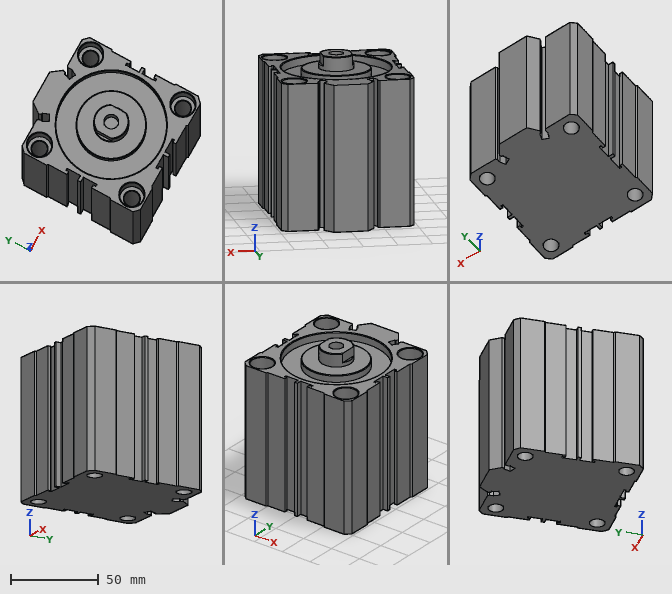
import cadquery as cq

overall_height = 94.0
overall_depth = 84.0
body_width = 77.0
body_height = 86.0
corner_chamfer = 3.2

relief_depth = 0.8
relief_half_length = 20.1

slot_mouth_width = 16.0
slot_inner_width = 19.3
slot_depth = 3.2
slot_lip = 2.0
slot_rib_width = 2.0

rail_top_half_width = 9.9
rail_half_width = 14.5
rail_widest_y = 39.3
rail_shoulder_y = 37.6
rail_shoulder_half_width = 14.0
rail_undercut_half_width = 13.2
groove_inner = (11.7, 33.65)
groove_outer = (15.4, 31.9)
groove_wall_half_width = 17.2
groove_wall_low_y = 35.2
groove_wall_high_y = 37.6
groove_mouth_half_width = 18.0

bore_diameter = 63.0
bore_chamfer = 0.5
recess_depth = 5.0
boss_diameter = 40.0
boss_height = 4.5
boss_chamfer = 0.5

hole_pitch = 60.1
hole_diameter = 8.9
hole_chamfer = 0.4
counterbore_diameter = 14.0
counterbore_chamfer = 0.5
counterbore_depth = 10.5

rod_diameter = 20.0
rod_chamfer = 0.5
flat_width = 17.0
flat_length = 6.0
rod_hole_diameter = 8.5
rod_hole_depth = 7.5

half_width = body_width / 2
relief_face = half_width - relief_depth
rail_top_y = overall_depth - half_width
boss_top = body_height - recess_depth + boss_height


def frustum(bottom_diameter, top_diameter, bottom_z, height):
    """Cone frustum on the Z axis, standing on bottom_z."""
    return cq.Workplane("XY").add(
        cq.Solid.makeCone(bottom_diameter / 2, top_diameter / 2, height, cq.Vector(0, 0, bottom_z))
    )


def make_block():
    """Square block with chamfered upright corners."""
    return (
        cq.Workplane("XY")
        .rect(body_width, body_width)
        .extrude(body_height)
        .edges("|Z")
        .chamfer(corner_chamfer)
    )


def make_side_cut():
    """Relief and split T-slot of the -Y side."""
    relief_end = relief_half_length + relief_depth
    relief = (
        cq.Workplane("XY")
        .polyline(
            [
                (-relief_end, -half_width),
                (-relief_half_length, -relief_face),
                (relief_half_length, -relief_face),
                (relief_end, -half_width),
            ]
        )
        .close()
        .extrude(body_height)
    )
    slot_floor = slot_depth - relief_face
    mouth = (
        cq.Workplane("XY")
        .center(0, slot_floor - slot_depth / 2)
        .rect(slot_mouth_width, slot_depth)
        .extrude(body_height)
    )
    undercut_height = slot_depth - slot_lip
    undercut = (
        cq.Workplane("XY")
        .center(0, slot_floor - undercut_height / 2)
        .rect(slot_inner_width, undercut_height)
        .extrude(body_height)
    )
    rib = (
        cq.Workplane("XY")
        .center(0, slot_floor - slot_depth / 2)
        .rect(slot_rib_width, slot_depth)
        .extrude(body_height)
    )
    return relief.union(mouth.union(undercut).cut(rib))


def make_rail():
    """Rail standing out of the +Y side."""
    right_side = [
        groove_inner,
        (rail_undercut_half_width, rail_shoulder_y),
        (rail_shoulder_half_width, rail_shoulder_y),
        (rail_half_width, rail_widest_y),
        (rail_top_half_width, rail_top_y),
    ]
    left_side = [(-x, y) for x, y in reversed(right_side)]
    return cq.Workplane("XY").polyline(right_side + left_side).close().extrude(body_height)


def make_rail_opening():
    """Opening in the +Y side that leaves a groove beside each flank of the rail."""
    right_side = [
        groove_inner,
        groove_outer,
        (groove_wall_half_width, groove_wall_low_y),
        (groove_wall_half_width, groove_wall_high_y),
        (groove_mouth_half_width, half_width),
    ]
    left_side = [(-x, y) for x, y in reversed(right_side)]
    return cq.Workplane("XY").polyline(right_side + left_side).close().extrude(body_height)


def make_recess():
    """Chamfered ring-shaped recess around the gland boss."""
    bore = (
        cq.Workplane("XY", origin=(0, 0, body_height - recess_depth))
        .circle(bore_diameter / 2)
        .extrude(recess_depth)
    )
    bore_mouth = frustum(
        bore_diameter, bore_diameter + 2 * bore_chamfer, body_height - bore_chamfer, bore_chamfer
    )
    boss = (
        cq.Workplane("XY", origin=(0, 0, body_height - recess_depth))
        .circle(boss_diameter / 2)
        .extrude(boss_height)
        .faces(">Z")
        .chamfer(boss_chamfer)
    )
    return bore.union(bore_mouth).cut(boss)


def make_mounting_hole():
    """Through hole with a counterbore, both with chamfered mouths, on the Z axis."""
    seat = body_height - counterbore_depth
    through = cq.Workplane("XY").circle(hole_diameter / 2).extrude(body_height)
    hole_mouth = frustum(hole_diameter, hole_diameter + 2 * hole_chamfer, seat - hole_chamfer, hole_chamfer)
    counterbore = (
        cq.Workplane("XY", origin=(0, 0, seat)).circle(counterbore_diameter / 2).extrude(counterbore_depth)
    )
    counterbore_mouth = frustum(
        counterbore_diameter,
        counterbore_diameter + 2 * counterbore_chamfer,
        body_height - counterbore_chamfer,
        counterbore_chamfer,
    )
    return through.union(hole_mouth).union(counterbore).union(counterbore_mouth)


def make_cylinder_body():
    """Profiled cylinder body with its rail, recess, gland boss and mounting holes."""
    body = make_block().cut(make_rail_opening()).union(make_rail())
    side_cut = make_side_cut()
    for angle in (-90, 0, 90):
        body = body.cut(side_cut.rotate((0, 0, 0), (0, 0, 1), angle))
    body = body.cut(make_recess())
    mounting_hole = make_mounting_hole()
    for x_side in (-1, 1):
        for y_side in (-1, 1):
            place = (x_side * hole_pitch / 2, y_side * hole_pitch / 2, 0)
            body = body.cut(mounting_hole.translate(place))
    return body


def make_piston_rod():
    """Rod end standing on the gland boss, with two wrench flats and a blind hole."""
    rod = (
        cq.Workplane("XY", origin=(0, 0, boss_top))
        .circle(rod_diameter / 2)
        .extrude(overall_height - boss_top)
        .faces(">Z")
        .chamfer(rod_chamfer)
    )
    flat_cut_depth = (rod_diameter - flat_width) / 2
    flat_cut_x = (flat_width + flat_cut_depth) / 2
    flat_cuts = (
        cq.Workplane("XY", origin=(0, 0, overall_height - flat_length))
        .pushPoints([(-flat_cut_x, 0), (flat_cut_x, 0)])
        .rect(flat_cut_depth, rod_diameter)
        .extrude(flat_length)
    )
    blind_hole = (
        cq.Workplane("XY", origin=(0, 0, overall_height - rod_hole_depth))
        .circle(rod_hole_diameter / 2)
        .extrude(rod_hole_depth)
    )
    return rod.cut(flat_cuts).cut(blind_hole)


cylinder_body = make_cylinder_body()
piston_rod = make_piston_rod()

result = cq.Compound.makeCompound([cylinder_body.val(), piston_rod.val()])